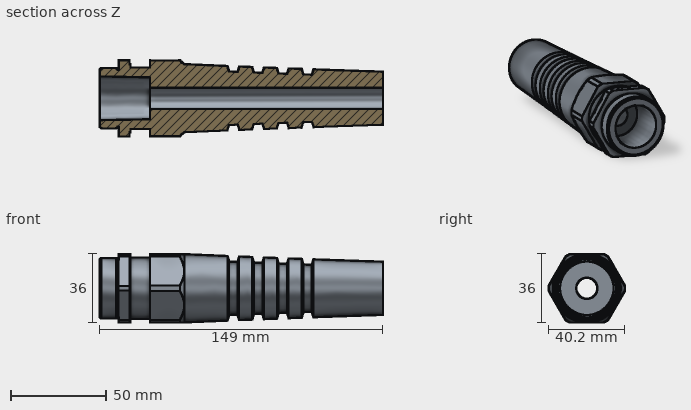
import cadquery as cq
import math

total_length = 149.0

thread_diameter = 32.0
thread_length = 9.5
thread_chamfer = 0.9
neck_diameter = thread_diameter - 2 * thread_chamfer

across_flats = 36.0
collar_start = 10.0
collar_end = 15.8
collar_corner_diameter = 40.19
washer_face_diameter = 35.9
washer_face_end = 16.3

shoulder_diameter = 32.4

nut_start = 26.5
nut_end = 44.6
nut_corner_diameter = 40.05
nut_chamfer_length = 2.4

sleeve_start = 47.3
sleeve_start_radius = 17.9
sleeve_end_radius = 14.05
sleeve_sag = 0.15

groove_count = 4
groove_pitch = 13.0
first_groove_start = 67.2
groove_opening = 6.2
groove_wall_run = 0.9
groove_depth = 2.85

bore_entry_diameter = 22.9
bore_end_diameter = 21.9
bore_depth = nut_start
cable_hole_diameter = 11.0


def cylinder(x_start, x_end, diameter):
    return (
        cq.Workplane("YZ", origin=(x_start, 0, 0))
        .circle(diameter / 2)
        .extrude(x_end - x_start)
    )


def revolve_about_x(profile):
    return profile.close().revolve(360, (0, 0, 0), (1, 0, 0))


def hexagon(x_start, x_end):
    """Hexagonal prism with flats facing +Z and -Z and corners on Y."""
    corner_circle = across_flats / math.cos(math.radians(30))
    return (
        cq.Workplane("YZ", origin=(x_start, 0, 0))
        .polygon(6, corner_circle)
        .extrude(x_end - x_start)
    )


def sleeve_radius(x):
    """Radius of the sleeve surface, which is one large arc bowed towards the axis."""
    run = total_length - sleeve_start
    drop = sleeve_start_radius - sleeve_end_radius
    chord = math.hypot(run, drop)
    arc_radius = chord**2 / (8 * sleeve_sag) + sleeve_sag / 2
    center_distance = arc_radius - sleeve_sag
    center_x = sleeve_start + run / 2 + center_distance * drop / chord
    center_r = (sleeve_start_radius + sleeve_end_radius) / 2 + center_distance * run / chord
    return center_r - math.sqrt(arc_radius**2 - (x - center_x) ** 2)


def add_sleeve_arc(profile, x_start, x_end):
    """Continue a profile along the sleeve surface from x_start to x_end."""
    middle = (x_start + x_end) / 2
    return profile.threePointArc((middle, sleeve_radius(middle)), (x_end, sleeve_radius(x_end)))


def add_groove(profile, x_start):
    """Continue a profile through one groove whose floor follows the taper of the sleeve."""
    x_end = x_start + groove_opening
    floor_start = x_start + groove_wall_run
    floor_end = x_end - groove_wall_run
    return (
        profile.lineTo(floor_start, sleeve_radius(floor_start) - groove_depth)
        .lineTo(floor_end, sleeve_radius(floor_end) - groove_depth)
        .lineTo(x_end, sleeve_radius(x_end))
    )


def make_threaded_end():
    thread = cylinder(0, thread_length, thread_diameter).edges().chamfer(thread_chamfer)
    neck = cylinder(thread_length - thread_chamfer, collar_start, neck_diameter)
    return thread.union(neck)


def make_collar():
    corner_limit = cylinder(collar_start, collar_end, collar_corner_diameter)
    collar = hexagon(collar_start, collar_end).intersect(corner_limit)
    washer_face = cylinder(collar_end, washer_face_end, washer_face_diameter)
    return collar.union(washer_face)


def make_nut():
    corner_radius = nut_corner_diameter / 2
    limit_profile = (
        cq.Workplane("XY")
        .moveTo(nut_start, 0)
        .lineTo(nut_start, corner_radius)
        .lineTo(nut_end - nut_chamfer_length, corner_radius)
        .lineTo(nut_end, sleeve_start_radius)
        .lineTo(nut_end, 0)
    )
    return hexagon(nut_start, nut_end).intersect(revolve_about_x(limit_profile))


def make_sleeve():
    profile = (
        cq.Workplane("XY")
        .moveTo(nut_end, 0)
        .lineTo(nut_end, sleeve_start_radius)
        .lineTo(sleeve_start, sleeve_start_radius)
    )
    x = sleeve_start
    for index in range(groove_count):
        groove_start = first_groove_start + index * groove_pitch
        profile = add_sleeve_arc(profile, x, groove_start)
        profile = add_groove(profile, groove_start)
        x = groove_start + groove_opening
    profile = add_sleeve_arc(profile, x, total_length)
    return revolve_about_x(profile.lineTo(total_length, 0))


def make_seat_bore():
    """Tapered bore in the fitting that ends on a flat floor."""
    profile = (
        cq.Workplane("XY")
        .lineTo(0, bore_entry_diameter / 2)
        .lineTo(bore_depth, bore_end_diameter / 2)
        .lineTo(bore_depth, 0)
    )
    return revolve_about_x(profile)


shoulder = cylinder(washer_face_end, nut_start, shoulder_diameter)

result = make_threaded_end().union(make_collar()).union(shoulder)
result = result.union(make_nut()).union(make_sleeve())
result = result.cut(make_seat_bore())
result = result.cut(cylinder(0, total_length, cable_hole_diameter))